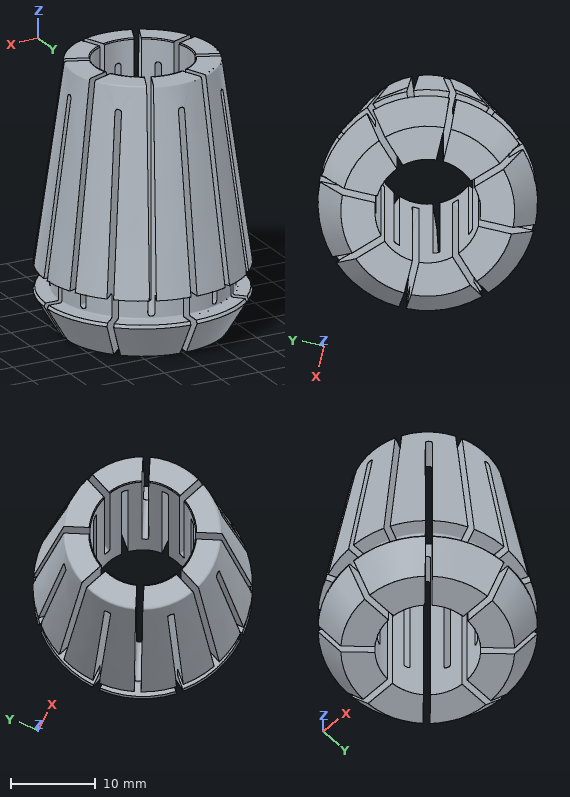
import cadquery as cq
import math

height = 34.0
outer_diameter = 26.0
bore_diameter = 12.5

taper_angle = 8.0
cone_base_z = 8.1
top_round = 0.3
bore_chamfer = 0.15

groove_diameter = 22.1
groove_bottom_z = 4.95
groove_fillet = 0.25
rim_z = 4.55
rim_chamfer = 0.2
foot_diameter = 20.57

slot_width = 0.8
slots_per_set = 8
lower_slot_top_z = 31.05
upper_slot_bottom_z = 5.4
slot_pitch = 360.0 / slots_per_set

outer_radius = outer_diameter / 2
bore_radius = bore_diameter / 2
groove_radius = groove_diameter / 2


def cone_radius(z):
    """Radius of the clamping cone at height z."""
    return outer_radius - (z - cone_base_z) * math.tan(math.radians(taper_angle))


def collet_body():
    """Revolved collet without its slots; the outline is (radius, z)."""
    top_turn = math.radians(90 - taper_angle)
    top_tangent = top_round * math.tan(top_turn / 2)
    round_start_z = height - top_tangent * math.cos(math.radians(taper_angle))
    outline = (
        cq.Workplane("XZ")
        .moveTo(bore_radius, 0)
        .lineTo(foot_diameter / 2, 0)
        .lineTo(outer_radius, rim_z)
        .lineTo(outer_radius - rim_chamfer, groove_bottom_z)
        .lineTo(groove_radius + groove_fillet, groove_bottom_z)
        .radiusArc((groove_radius, groove_bottom_z + groove_fillet), groove_fillet)
        .lineTo(groove_radius, cone_base_z - groove_fillet)
        .radiusArc((groove_radius + groove_fillet, cone_base_z), groove_fillet)
        .lineTo(outer_radius, cone_base_z)
        .lineTo(cone_radius(round_start_z), round_start_z)
        .radiusArc((cone_radius(height) - top_tangent, height), -top_round)
        .lineTo(bore_radius + bore_chamfer, height)
        .lineTo(bore_radius, height - bore_chamfer)
        .close()
    )
    return outline.revolve(360, (0, 0, 0), (0, 1, 0))


def radial_slot(open_z, round_end_z, angle):
    """Cutter from the axis outwards: open at open_z, with a full round at round_end_z."""
    half_width = slot_width / 2
    towards_open = math.copysign(1, open_z - round_end_z)
    arc_z = round_end_z + towards_open * half_width
    return (
        cq.Workplane("XZ")
        .moveTo(-half_width, open_z)
        .lineTo(-half_width, arc_z)
        .threePointArc((0, round_end_z), (half_width, arc_z))
        .lineTo(half_width, open_z)
        .close()
        .extrude(outer_diameter)
        .rotate((0, 0, 0), (0, 0, 1), angle)
    )


result = collet_body()
for index in range(slots_per_set):
    lower_angle = index * slot_pitch
    upper_angle = lower_angle + slot_pitch / 2
    result = result.cut(radial_slot(0, lower_slot_top_z, lower_angle))
    result = result.cut(radial_slot(height, upper_slot_bottom_z, upper_angle))